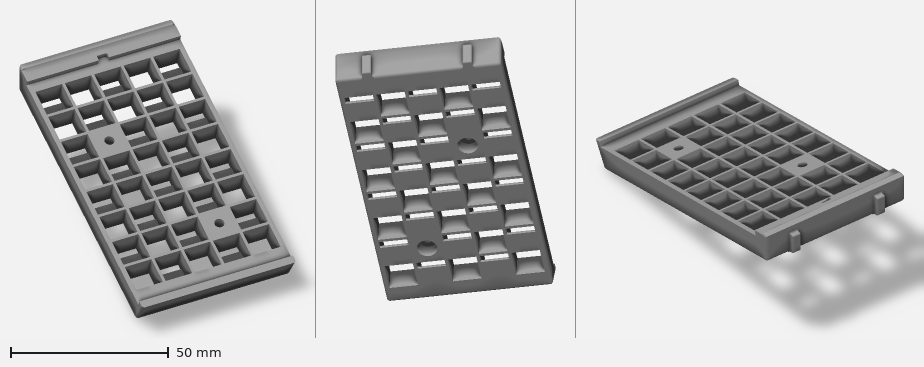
import cadquery as cq
import math

tilt = math.radians(15)
width = 53.4
deck_thickness = 8.0
lip_height = 1.95
edge_radius = 1.0

front_lip_start = 89.4
front_tip = 92.2
end_lean = math.radians(15)

back_x = -6.0
wall_top = 3.6
wall_thickness = 2.2
ramp_length = 1.0

columns = 8
rows = 5
rib = 1.0
grid_start = 3.3
grid_length = 80.6
grid_width = 50.1
cell_length = (grid_length - (columns - 1) * rib) / columns
cell_width = (grid_width - (rows - 1) * rib) / rows
floor_thickness = 1.0
floor_gap = 2.4

screw_cells = [(2, 1), (6, 3)]
screw_diameter = 3.2
head_diameter = 6.5
screw_seat = 3.4

notch_width = 3.6
notch_depth = 1.8
notch_radius = 0.5

peg_spacing = 32.5
peg_width = 3.0
peg_reach = 1.95
peg_top = 0.9
peg_radius = 0.5
flare_radius = 0.5


def on_deck(along, above):
    """X and Z of a point given along the deck and above its surface."""
    x = along * math.cos(tilt) + above * math.sin(tilt)
    z = above * math.cos(tilt) - along * math.sin(tilt)
    return (x, z)


def height_at(x, above):
    """Z at a given X of the plane that lies parallel to the deck, above its surface."""
    return above / math.cos(tilt) - x * math.tan(tilt)


def slab(outline, depth):
    """Closed XZ outline extruded symmetrically in Y."""
    return cq.Workplane("XZ").polyline(outline).close().extrude(depth / 2, both=True)


deck_plane = cq.Plane(
    origin=(0, 0, 0),
    xDir=(math.cos(tilt), 0, -math.sin(tilt)),
    normal=(math.sin(tilt), 0, math.cos(tilt)),
)


def deck_box(start, length, wide, bottom, top, center_y=0):
    """Box aligned with the deck, between two heights relative to its surface."""
    outline = cq.Workplane(deck_plane).workplane(offset=bottom)
    outline = outline.center(start + length / 2, center_y).rect(length, wide)
    return outline.extrude(top - bottom)


def make_tray():
    end_foot = front_tip - (lip_height + deck_thickness) * math.tan(end_lean)
    tray = slab(
        [
            (back_x, height_at(back_x, -deck_thickness)),
            on_deck(end_foot, -deck_thickness),
            on_deck(front_tip, lip_height),
            on_deck(front_lip_start, lip_height),
            on_deck(front_lip_start, 0),
            on_deck(0, 0),
            on_deck(0, lip_height),
            (back_x + wall_thickness, height_at(back_x + wall_thickness, lip_height)),
            (back_x + wall_thickness, wall_top),
            (back_x, wall_top),
        ],
        width,
    )
    underside = tray.faces(cq.selectors.DirectionMinMaxSelector(deck_plane.zDir, False))
    back_sides = tray.faces("<X").edges("|Z")
    end_direction = cq.Vector(math.sin(tilt + end_lean), 0, math.cos(tilt + end_lean))
    end_sides = tray.edges(cq.selectors.ParallelDirSelector(end_direction))
    wall_sides = tray.faces(">Z").edges("|X")
    return underside.edges().add(back_sides).add(end_sides).add(wall_sides).fillet(edge_radius)


def make_ramp():
    """Hollow curve that eases the wall top down to the lip."""
    wall_front = back_x + wall_thickness
    ramp_end = wall_front + ramp_length
    lead_in = ramp_end + ramp_length
    ramp = cq.Workplane("XZ").moveTo(wall_front, wall_top)
    ramp = ramp.lineTo(wall_front, height_at(wall_front, 0))
    ramp = ramp.lineTo(lead_in, height_at(lead_in, 0))
    ramp = ramp.lineTo(lead_in, height_at(lead_in, lip_height))
    ramp = ramp.lineTo(ramp_end, height_at(ramp_end, lip_height))
    ramp = ramp.tangentArcPoint((wall_front, wall_top), relative=False)
    return ramp.close().extrude(width / 2 - edge_radius, both=True)


def peg_block(back, front, top, wide):
    """Upright block between two X places, with its underside in the plane of the tray bottom."""
    outline = [
        (back, height_at(back, -deck_thickness)),
        (front, height_at(front, -deck_thickness)),
        (front, top),
        (back, top),
    ]
    return slab(outline, wide)


def make_peg():
    """Rounded peg that flares out where it meets the back wall."""
    tip_x = back_x - peg_reach
    root_x = back_x + edge_radius
    flared_width = peg_width + 2 * flare_radius
    peg = peg_block(tip_x, root_x, peg_top, peg_width)
    peg = peg.edges("|X").edges(">Z").add(peg.faces("<X").edges()).fillet(peg_radius)

    peg = peg.union(peg_block(back_x, root_x, wall_top, 2 * flared_width))
    middle_z = height_at(back_x, -deck_thickness / 2)
    root_point = (back_x, peg_width / 2, middle_z)
    root_edge = peg.edges("|Z").edges(cq.selectors.NearestToPointSelector(root_point))
    peg = root_edge.fillet(flare_radius)
    return peg.intersect(peg_block(tip_x, root_x, wall_top, flared_width))


def cell_place(column, row):
    """Start of a cell along the deck, and the Y of its middle."""
    start = grid_start + column * (cell_length + rib)
    center_y = (row - (rows - 1) / 2) * (cell_width + rib)
    return start, center_y


def cut_cells(body):
    """Square cells, open right through or with a floor in alternate ones like a chessboard."""
    for column in range(columns):
        for row in range(rows):
            if (column, row) in screw_cells:
                continue
            start, center_y = cell_place(column, row)
            body = body.cut(deck_box(start, cell_length, cell_width, -deck_thickness, 0, center_y))
            if (column + row) % 2 == 0:
                floor = deck_box(start + floor_gap, cell_length - floor_gap, cell_width,
                                 -deck_thickness, floor_thickness - deck_thickness, center_y)
                body = body.union(floor)
    return body


def cut_screw_holes(body):
    """Screw holes through the solid cells, counterbored from below."""
    for column, row in screw_cells:
        start, center_y = cell_place(column, row)
        center = cq.Workplane(deck_plane).center(start + cell_length / 2, center_y)
        body = body.cut(center.circle(screw_diameter / 2).extrude(-deck_thickness))
        head = center.workplane(offset=-deck_thickness).circle(head_diameter / 2)
        body = body.cut(head.extrude(deck_thickness - screw_seat))
    return body


def cut_notch(body):
    notch = deck_box(-notch_depth, 2 * notch_depth, notch_width, 0, lip_height)
    notch = notch.edges(cq.selectors.ParallelDirSelector(deck_plane.zDir)).fillet(notch_radius)
    return body.cut(notch)


result = make_tray().union(make_ramp())
peg = make_peg()
for side in (-1, 1):
    result = result.union(peg.translate((0, side * peg_spacing / 2, 0)))
result = cut_cells(result)
result = cut_screw_holes(result)
result = cut_notch(result)